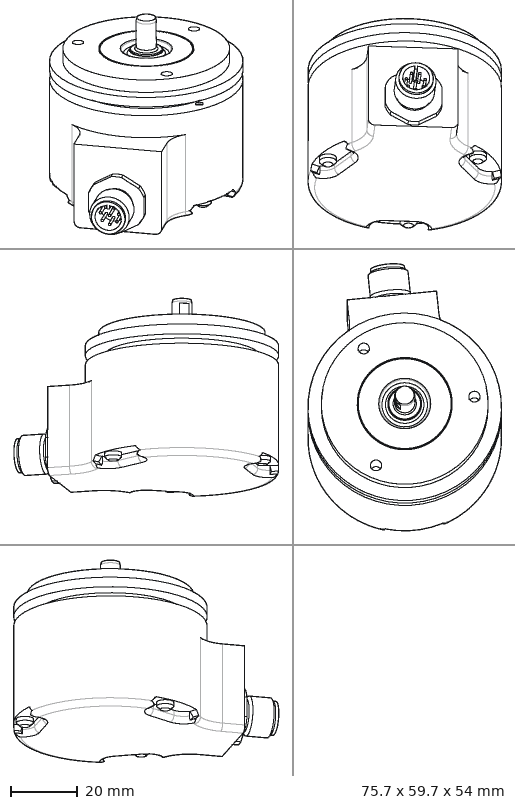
import cadquery as cq
import math

BODY_RADIUS = 29.0
BODY_TOP = 34.1
GROOVE_RADIUS = 23.25
RING_BOTTOM = 37.0
RING_TOP = 40.0
FLANGE_RADIUS = 25.0
FLANGE_TOP = 44.0
RIM_FILLET = 2.0

SHAFT_RADIUS = 3.0
SHAFT_TOP = 54.0
SHAFT_CHAMFER_RADIAL = 0.2
SHAFT_CHAMFER_HEIGHT = 0.9
COLLAR_RADIUS = 3.5
COLLAR_TOP = 44.6
FLAT_OFFSET = 2.65
FLAT_BOTTOM = 47.6
FLAT_TOP = 52.5

SEAT_RADIUS = 7.8
SEAT_CHAMFER = 0.3
SEAT_FLOOR_RADIUS = 6.8
SEAT_DEPTH = 1.5
SEAL_BASE_RADIUS = 5.75
SEAL_TOP_RADIUS = 4.8
SEAL_TOP = 43.95
SEAL_LIP_HEIGHT = 0.45
SEAL_LIP_GROOVE = 0.3
RING_GROOVE_OUTER = 14.25
RING_GROOVE_INNER = 13.95
RING_GROOVE_DEPTH = 0.4

MOUNT_ANGLES = (0, 120, 240)
MOUNT_CIRCLE_RADIUS = 21.0
MOUNT_HOLE_RADIUS = 1.7
MOUNT_HOLE_DEPTH = 8.0
DRILL_CONE_DEPTH = 1.0

OUTLET_ANGLE = -30.0
BOX_FACE = 38.0
BOX_HALF_WIDTH = 13.5
BOX_TOP = 27.0
BOX_BLEND_RADIUS = 10.0

NOTCH_ANGLES = (30.0, 150.0, 270.0)
NOTCH_HEIGHT = 3.4
NOTCH_HALF_ANGLE = 17.2
NOTCH_INNER_RADIUS = 22.35
NOTCH_CORNER_RADIUS = 4.2
NOTCH_UNDERCUT = 0.1
NOTCH_FLARE = 1.45
NOTCH_FLARE_START = 25.0
SCREW_OFFSET_ANGLE = -6.3
SCREW_CIRCLE_RADIUS = 26.0
SCREW_HEAD_RADIUS = 2.6
SCREW_CROWN_RADIUS = 1.5
SCREW_HEAD_EDGE = 2.2
SCREW_HEAD_BOTTOM = 1.2

SHOULDER_HOLE_RADIUS = 1.1
SHOULDER_HOLE_DEPTH = 0.6
SHOULDER_HOLE_CIRCLE_RADIUS = 25.15
SHOULDER_HOLE_OFFSET_ANGLE = -7.8

PLUG_HEIGHT = 9.5
NUT_HALF_FLATS = 8.5
NUT_CORNER_RADIUS = 9.0
NUT_END = 40.15
NECK_RADIUS = 5.15
NECK_END = 41.75
SLEEVE_RADIUS = 6.05
SLEEVE_START = 42.65
SLEEVE_END = 49.25
TIP_START = 50.0
PLUG_END = 51.0
SOCKET_RADIUS = 4.0
SOCKET_DEPTH = 7.6
KEY_WIDTH = 0.8
KEY_HEIGHT = 1.05
PIN_COUNT = 7
PIN_CIRCLE_RADIUS = 2.9
PIN_RADIUS = 0.4
PIN_END = 49.0

OVERLAP = 0.75


def polar(radius, angle):
    turn = math.radians(angle)
    return radius * math.cos(turn), radius * math.sin(turn)


def turned(profile):
    """Solid of revolution about Z from (radius, height) points."""
    return cq.Workplane("XZ").polyline(profile).close().revolve(360, (0, 0), (0, 1))


def housing():
    profile = [
        (0, 0),
        (BODY_RADIUS, 0),
        (BODY_RADIUS, BODY_TOP),
        (GROOVE_RADIUS, BODY_TOP),
        (GROOVE_RADIUS, RING_BOTTOM),
        (BODY_RADIUS, RING_BOTTOM),
        (BODY_RADIUS, RING_TOP),
        (FLANGE_RADIUS, RING_TOP),
        (FLANGE_RADIUS, FLANGE_TOP),
        (0, FLANGE_TOP),
    ]
    return turned(profile)


def connector_box():
    """Box blended into the round body by two concave arcs, built along +X and turned."""
    center_y = BOX_HALF_WIDTH + BOX_BLEND_RADIUS
    center_distance = BODY_RADIUS + BOX_BLEND_RADIUS
    center_x = math.sqrt(center_distance**2 - center_y**2)
    shrink = BODY_RADIUS / center_distance
    touch_x, touch_y = center_x * shrink, center_y * shrink
    mid_angle = (math.degrees(math.atan2(-center_y, -center_x)) - 90) / 2
    mid_dx, mid_dy = polar(BOX_BLEND_RADIUS, mid_angle)
    mid_x, mid_y = center_x + mid_dx, center_y + mid_dy
    return (
        cq.Workplane("XY")
        .moveTo(0, 0)
        .lineTo(touch_x, -touch_y)
        .threePointArc((mid_x, -mid_y), (center_x, -BOX_HALF_WIDTH))
        .lineTo(BOX_FACE, -BOX_HALF_WIDTH)
        .lineTo(BOX_FACE, BOX_HALF_WIDTH)
        .lineTo(center_x, BOX_HALF_WIDTH)
        .threePointArc((mid_x, mid_y), (touch_x, touch_y))
        .close()
        .extrude(BOX_TOP)
        .rotate((0, 0, 0), (0, 0, 1), OUTLET_ANGLE)
    )


def notch_half_width():
    return BODY_RADIUS * math.sin(math.radians(NOTCH_HALF_ANGLE))


def notch(angle):
    """Pocket open to the outside and below; its walls curve outward into the bottom face."""
    outer = BODY_RADIUS + 2 * RIM_FILLET
    pocket = (
        cq.Workplane("XY", origin=(NOTCH_INNER_RADIUS, 0, -NOTCH_UNDERCUT))
        .box(
            outer - NOTCH_INNER_RADIUS,
            2 * notch_half_width(),
            NOTCH_HEIGHT + NOTCH_UNDERCUT,
            centered=(False, True, False),
        )
        .edges("|Z and <X")
        .fillet(NOTCH_CORNER_RADIUS)
    )
    apron = (
        cq.Workplane("XY", origin=(NOTCH_INNER_RADIUS - 2 * RIM_FILLET, 0, -NOTCH_UNDERCUT - OVERLAP))
        .box(
            outer - NOTCH_INNER_RADIUS + 2 * RIM_FILLET,
            2 * notch_half_width() + 4 * RIM_FILLET,
            OVERLAP,
            centered=(False, True, False),
        )
    )
    near_joint = cq.selectors.BoxSelector(
        (NOTCH_INNER_RADIUS - OVERLAP, -notch_half_width() - OVERLAP, -NOTCH_UNDERCUT - OVERLAP / 2),
        (outer - OVERLAP, notch_half_width() + OVERLAP, -NOTCH_UNDERCUT + OVERLAP / 2),
    )
    return (
        pocket.union(apron)
        .edges(near_joint)
        .fillet(RIM_FILLET)
        .rotate((0, 0, 0), (0, 0, 1), angle)
    )


def notch_flare(angle):
    """Widening of a notch mouth: each side slopes out at 45 degrees and back in again."""
    narrow = notch_half_width()
    wide = narrow + NOTCH_FLARE
    widest_height = NOTCH_HEIGHT - NOTCH_FLARE
    low_height = widest_height - NOTCH_FLARE
    profile = [
        (-narrow, NOTCH_HEIGHT),
        (-wide, widest_height),
        (-narrow, low_height),
        (narrow, low_height),
        (wide, widest_height),
        (narrow, NOTCH_HEIGHT),
    ]
    return (
        cq.Workplane("YZ", origin=(NOTCH_FLARE_START, 0, 0))
        .polyline(profile)
        .close()
        .extrude(BODY_RADIUS + OVERLAP - NOTCH_FLARE_START)
        .rotate((0, 0, 0), (0, 0, 1), angle)
    )


def screw_head(angle):
    profile = [
        (0, SCREW_HEAD_BOTTOM),
        (SCREW_CROWN_RADIUS, SCREW_HEAD_BOTTOM),
        (SCREW_HEAD_RADIUS, SCREW_HEAD_EDGE),
        (SCREW_HEAD_RADIUS, NOTCH_HEIGHT + OVERLAP),
        (0, NOTCH_HEIGHT + OVERLAP),
    ]
    return turned(profile).translate((*polar(SCREW_CIRCLE_RADIUS, angle), 0))


def shoulder_hole(angle):
    """Shallow blind hole in the shoulder below the groove."""
    hole = cq.Workplane("XY").circle(SHOULDER_HOLE_RADIUS).extrude(SHOULDER_HOLE_DEPTH)
    x, y = polar(SHOULDER_HOLE_CIRCLE_RADIUS, angle)
    return hole.translate((x, y, BODY_TOP - SHOULDER_HOLE_DEPTH))


def mounting_hole(angle):
    bottom = FLANGE_TOP - MOUNT_HOLE_DEPTH
    profile = [
        (0, bottom - DRILL_CONE_DEPTH),
        (MOUNT_HOLE_RADIUS, bottom),
        (MOUNT_HOLE_RADIUS, FLANGE_TOP),
        (0, FLANGE_TOP),
    ]
    return turned(profile).translate((*polar(MOUNT_CIRCLE_RADIUS, angle), 0))


def seal_seat():
    floor = FLANGE_TOP - SEAT_DEPTH
    profile = [
        (0, floor),
        (SEAT_FLOOR_RADIUS, floor),
        (SEAT_RADIUS - SEAT_CHAMFER, FLANGE_TOP - SEAT_CHAMFER),
        (SEAT_RADIUS, FLANGE_TOP),
        (0, FLANGE_TOP),
    ]
    return turned(profile)


def ring_groove():
    return (
        cq.Workplane("XY", origin=(0, 0, FLANGE_TOP - RING_GROOVE_DEPTH))
        .circle(RING_GROOVE_OUTER)
        .circle(RING_GROOVE_INNER)
        .extrude(RING_GROOVE_DEPTH)
    )


def shaft_and_seal():
    base = FLANGE_TOP - SEAT_DEPTH - OVERLAP
    profile = [
        (0, base),
        (SEAL_BASE_RADIUS, base),
        (SEAL_BASE_RADIUS, base + OVERLAP),
        (SEAL_TOP_RADIUS + SEAL_LIP_GROOVE, SEAL_TOP - SEAL_LIP_HEIGHT),
        (SEAL_TOP_RADIUS, SEAL_TOP - SEAL_LIP_HEIGHT),
        (SEAL_TOP_RADIUS, SEAL_TOP),
        (COLLAR_RADIUS, SEAL_TOP),
        (SHAFT_RADIUS, COLLAR_TOP),
        (SHAFT_RADIUS, SHAFT_TOP - SHAFT_CHAMFER_HEIGHT),
        (SHAFT_RADIUS - SHAFT_CHAMFER_RADIAL, SHAFT_TOP),
        (0, SHAFT_TOP),
    ]
    shaft = turned(profile)
    flat = (
        cq.Workplane("XY", origin=(0, FLAT_OFFSET, FLAT_BOTTOM))
        .box(2 * SHAFT_RADIUS, SHAFT_RADIUS, FLAT_TOP - FLAT_BOTTOM, centered=(True, False, False))
    )
    return shaft.cut(flat)


def plug():
    """Plug connector built along +X, then lifted and turned to the outlet direction."""
    start = BOX_FACE - OVERLAP
    nut_length = NUT_END - start
    half_side_angle = 30
    hexagon_diameter = 2 * NUT_HALF_FLATS / math.cos(math.radians(half_side_angle))
    nut = cq.Workplane("YZ", origin=(start, 0, 0)).polygon(6, hexagon_diameter).extrude(nut_length)
    nut = nut.rotate((0, 0, 0), (1, 0, 0), half_side_angle)
    nut = nut.intersect(
        cq.Workplane("YZ", origin=(start, 0, 0)).circle(NUT_CORNER_RADIUS).extrude(nut_length)
    )

    socket_floor = PLUG_END - SOCKET_DEPTH
    profile = [
        (start, 0),
        (start, NECK_RADIUS),
        (NECK_END, NECK_RADIUS),
        (SLEEVE_START, SLEEVE_RADIUS),
        (SLEEVE_END, SLEEVE_RADIUS),
        (TIP_START, NECK_RADIUS),
        (PLUG_END, NECK_RADIUS),
        (PLUG_END, SOCKET_RADIUS),
        (socket_floor, SOCKET_RADIUS),
        (socket_floor, 0),
    ]
    barrel = cq.Workplane("XY").polyline(profile).close().revolve(360, (0, 0), (1, 0))

    key = (
        cq.Workplane("XY", origin=(socket_floor, 0, SOCKET_RADIUS - KEY_HEIGHT))
        .box(SOCKET_DEPTH, KEY_WIDTH, KEY_HEIGHT + OVERLAP, centered=(False, True, False))
    )
    pin_step = 360 / PIN_COUNT
    pin_places = [polar(PIN_CIRCLE_RADIUS, 90 + (i + 0.5) * pin_step) for i in range(PIN_COUNT)]
    pin_places.append((0, 0))
    pins = (
        cq.Workplane("YZ", origin=(socket_floor - OVERLAP, 0, 0))
        .pushPoints(pin_places)
        .circle(PIN_RADIUS)
        .extrude(PIN_END - socket_floor + OVERLAP)
    )
    whole = nut.union(barrel).union(key).union(pins)
    return whole.translate((0, 0, PLUG_HEIGHT)).rotate((0, 0, 0), (0, 0, 1), OUTLET_ANGLE)


result = housing().union(connector_box())
face_foot = cq.Vector(*polar(BOX_FACE, OUTLET_ANGLE), 0)
rim = result.faces("<Z").edges().filter(lambda edge: (edge.Center() - face_foot).Length > RIM_FILLET)
result = result.newObject(rim.vals()).fillet(RIM_FILLET)

for notch_angle in NOTCH_ANGLES:
    result = result.cut(notch(notch_angle)).cut(notch_flare(notch_angle))
    result = result.union(screw_head(notch_angle + SCREW_OFFSET_ANGLE))
    result = result.cut(shoulder_hole(notch_angle + SHOULDER_HOLE_OFFSET_ANGLE))

for mount_angle in MOUNT_ANGLES:
    result = result.cut(mounting_hole(mount_angle))

result = result.cut(seal_seat()).cut(ring_groove())
result = result.union(shaft_and_seal()).union(plug())